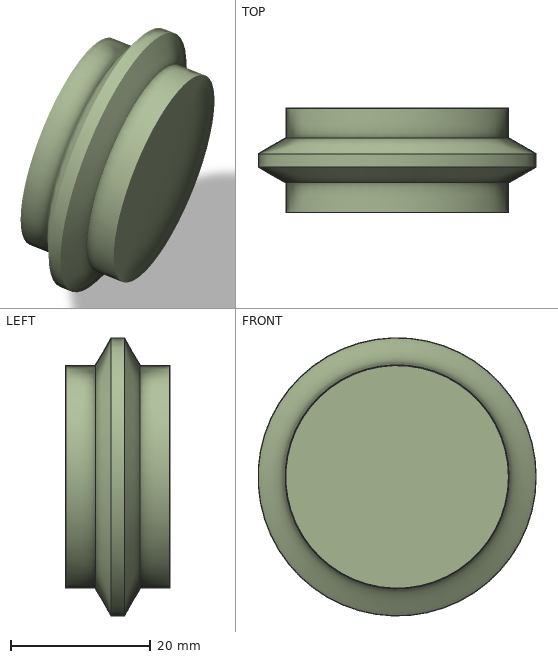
import cadquery as cq
import math

hub_diameter = 32.0
rim_diameter = 40.0
total_width = 15.0
root_width = 6.4
root_ledge = 0.1
flank_angle = 30.0

hub_radius = hub_diameter / 2
rim_radius = rim_diameter / 2
root_radius = hub_radius + root_ledge
half_width = total_width / 2
root_half_width = root_width / 2
flank_width = (rim_radius - root_radius) * math.tan(math.radians(flank_angle))
rim_half_width = root_half_width - flank_width


def make_flanged_disc():
    """Solid hub with a tapered flange around its middle, revolved about the Y axis."""
    half_section = (
        cq.Workplane("XY")
        .moveTo(0, -half_width)
        .lineTo(hub_radius, -half_width)
        .lineTo(hub_radius, -root_half_width)
        .lineTo(root_radius, -root_half_width)
        .lineTo(rim_radius, -rim_half_width)
        .lineTo(rim_radius, rim_half_width)
        .lineTo(root_radius, root_half_width)
        .lineTo(hub_radius, root_half_width)
        .lineTo(hub_radius, half_width)
        .lineTo(0, half_width)
        .close()
    )
    return half_section.revolve(360, (0, 0, 0), (0, 1, 0))


result = make_flanged_disc()